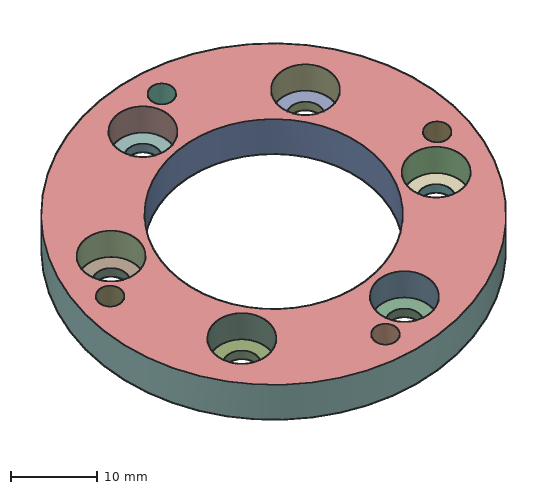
import cadquery as cq

outer_diameter = 54.0
bore_diameter = 30.0
thickness = 6.0

screw_count = 6
screw_circle_diameter = 40.0
screw_start_angle = 11.6
screw_hole_diameter = 4.5
counterbore_diameter = 8.0
counterbore_depth = 4.5

rim_hole_count = 4
rim_circle_diameter = 46.0
rim_start_angle = -3.4
rim_hole_diameter = 3.3


def make_ring():
    """Flat ring with its underside on the XY plane."""
    return (
        cq.Workplane("XY")
        .circle(outer_diameter / 2)
        .circle(bore_diameter / 2)
        .extrude(thickness)
    )


def hole_centres(body, circle_diameter, start_angle, count):
    """Evenly spaced points on the top face, on a circle about the Z axis."""
    return (
        body.faces(">Z")
        .workplane(origin=(0, 0, thickness))
        .polarArray(circle_diameter / 2, start_angle, 360, count)
    )


def cut_screw_holes(body):
    centres = hole_centres(body, screw_circle_diameter, screw_start_angle, screw_count)
    return centres.cboreHole(screw_hole_diameter, counterbore_diameter, counterbore_depth)


def cut_rim_holes(body):
    centres = hole_centres(body, rim_circle_diameter, rim_start_angle, rim_hole_count)
    return centres.hole(rim_hole_diameter)


result = cut_rim_holes(cut_screw_holes(make_ring()))